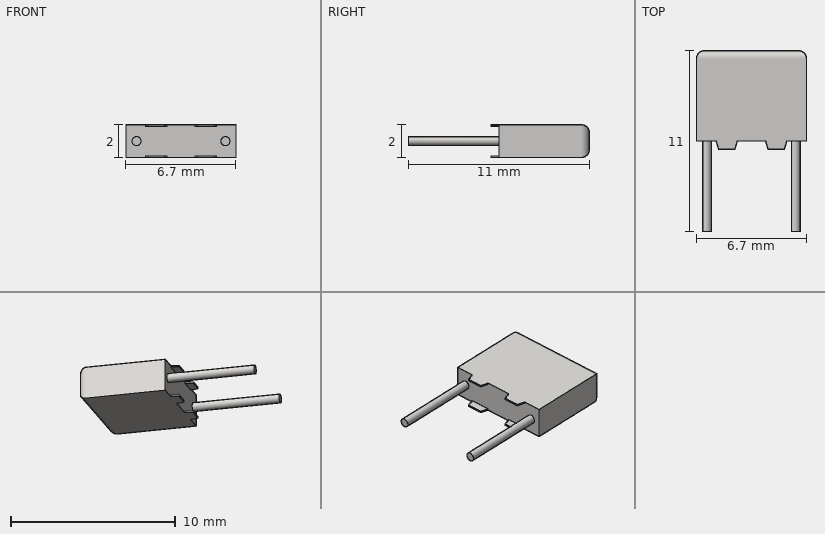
import cadquery as cq


CASE_WIDTH = 6.7
CASE_DEPTH = 5.5
CASE_THICKNESS = 2.0
BACK_EDGE_RADIUS = 0.5

FOOT_ROOT_WIDTH = 1.3
FOOT_TIP_WIDTH = 1.0
FOOT_LENGTH = 0.5
FOOT_THICKNESS = 0.1
FOOT_PITCH = 3.0

OVERALL_LENGTH = 11.0
LEAD_LENGTH = OVERALL_LENGTH - CASE_DEPTH
LEAD_DIAMETER = 0.55
LEAD_PITCH = 5.4


def make_foot(x_center, z_bottom):
    """Thin foot that tapers from the seating face toward its tip."""
    return (
        cq.Workplane("XY")
        .workplane(offset=z_bottom)
        .moveTo(x_center - FOOT_ROOT_WIDTH / 2, 0)
        .lineTo(x_center - FOOT_TIP_WIDTH / 2, -FOOT_LENGTH)
        .lineTo(x_center + FOOT_TIP_WIDTH / 2, -FOOT_LENGTH)
        .lineTo(x_center + FOOT_ROOT_WIDTH / 2, 0)
        .close()
        .extrude(FOOT_THICKNESS)
    )


def make_case():
    """Box with a rounded back and four feet on its seating face."""
    case = (
        cq.Workplane("XY")
        .box(CASE_WIDTH, CASE_DEPTH, CASE_THICKNESS)
        .translate((0, CASE_DEPTH / 2, 0))
        .faces(">Y")
        .edges()
        .fillet(BACK_EDGE_RADIUS)
    )
    lower_foot_z = -CASE_THICKNESS / 2
    upper_foot_z = CASE_THICKNESS / 2 - FOOT_THICKNESS
    for x_center in (-FOOT_PITCH / 2, FOOT_PITCH / 2):
        for z_bottom in (lower_foot_z, upper_foot_z):
            case = case.union(make_foot(x_center, z_bottom))
    return case


def make_lead(x_center):
    """Straight round wire that starts on the seating face."""
    return (
        cq.Workplane("XZ")
        .center(x_center, 0)
        .circle(LEAD_DIAMETER / 2)
        .extrude(LEAD_LENGTH)
    )


case = make_case()
leads = [make_lead(x_center) for x_center in (-LEAD_PITCH / 2, LEAD_PITCH / 2)]

result = cq.Compound.makeCompound([case.val(), *[lead.val() for lead in leads]])